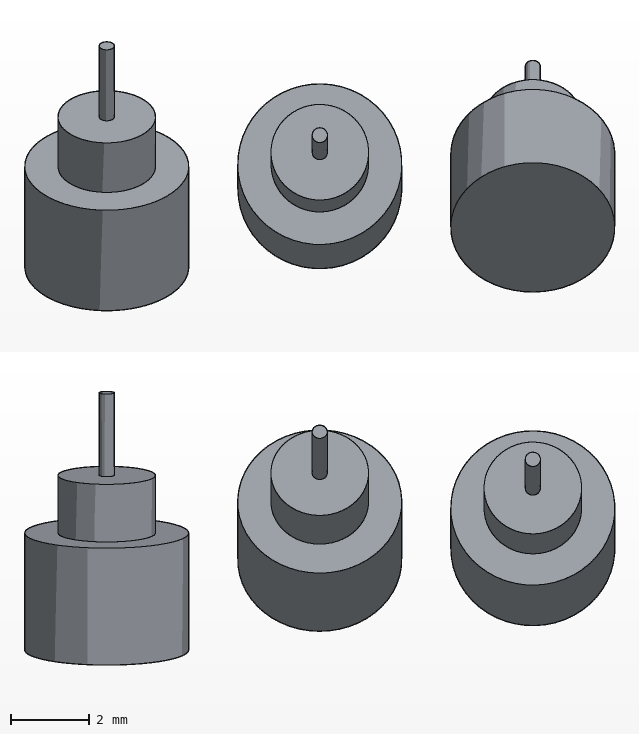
import cadquery as cq

total_height = 6.7

body_diameter = 4.2
body_height = 3.05

collar_diameter = 2.5
collar_height = 1.5

pin_diameter = 0.39
pin_height = total_height - body_height - collar_height


def stack_cylinder(base, diameter, height):
    """Add a coaxial cylinder on the top face of the base."""
    return base.faces(">Z").workplane().circle(diameter / 2).extrude(height)


body = cq.Workplane("XY").circle(body_diameter / 2).extrude(body_height)
body_and_collar = stack_cylinder(body, collar_diameter, collar_height)
result = stack_cylinder(body_and_collar, pin_diameter, pin_height)